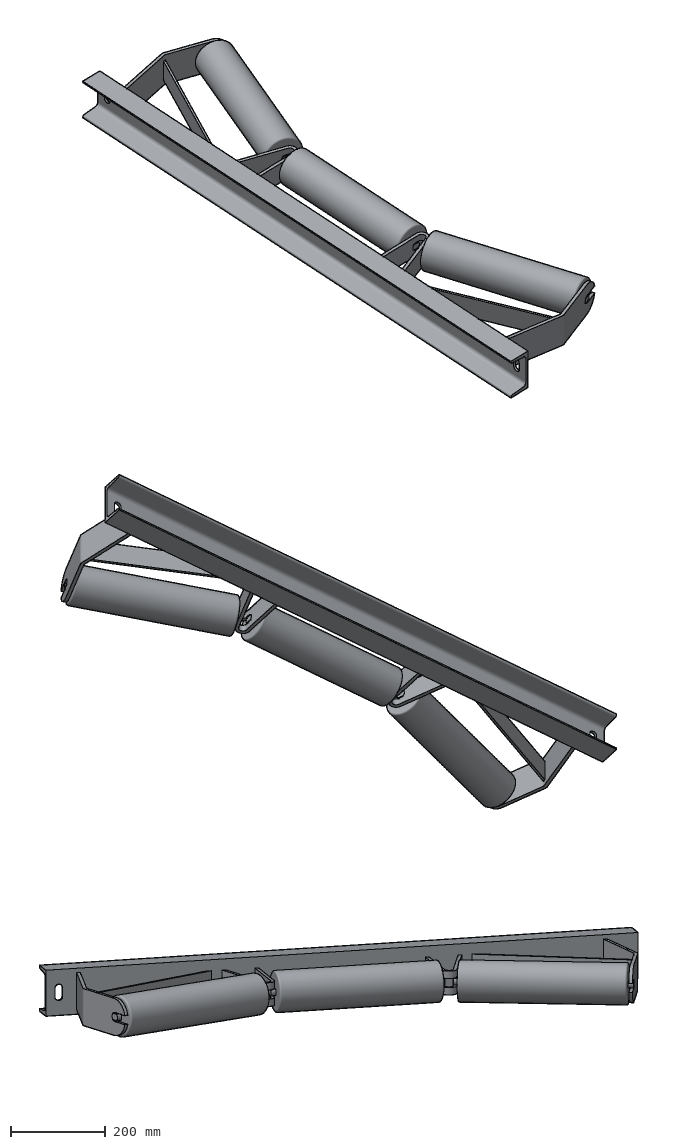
import cadquery as cq
import math


channel_length = 1300.0
channel_height = 100.0
channel_depth = channel_height / 2
web_thickness = 6.0
flange_thickness = 8.5
flange_slope = 0.08
root_radius = 8.5
tip_radius = 4.5
mount_slot_width = 17.0
mount_slot_length = 35.0
mount_slot_inset = 29.0

roller_diameter = 90.0
roller_length = 360.0
roller_edge_radius = 4.0
shaft_radius = 9.8
shaft_flat_width = 14.0
tilt = 20.0
side_roller_x = -390.0
side_roller_y = 187.0
center_roller_y = 116.0

wide_strip_width = 80.0
narrow_strip_width = 52.0
strip_thickness = 8.0
end_gap = 3.2
end_bend_y = 144.0
end_foot = (-576.0, -13.0)
end_round_drop = 3.0
end_bend_radius = 12.0
mid_bend_radius = 13.0
brace_thickness = 5.0
brace_foot = (-264.0, -13.0)

sin_tilt = math.sin(math.radians(tilt))
cos_tilt = math.cos(math.radians(tilt))
tan_tilt = sin_tilt / cos_tilt
strip_offset = roller_length / 2 + end_gap + strip_thickness / 2
shaft_length = 2 * strip_offset + strip_thickness

outer_seat = (side_roller_x - strip_offset * cos_tilt, side_roller_y + strip_offset * sin_tilt)
inner_seat = (side_roller_x + strip_offset * cos_tilt, side_roller_y - strip_offset * sin_tilt)
center_seat = (-strip_offset, center_roller_y)


def tilted_x(seat, y):
    """X at height y on the tilted strip middle that passes through a shaft seat."""
    return seat[0] + (y - seat[1]) * tan_tilt


end_bend = (tilted_x(outer_seat, end_bend_y), end_bend_y)


def fillet_flange_edges(channel, y, z, radius):
    """Round the long edges at (y, z) and (y, -z)."""
    edges = []
    for side in (-1, 1):
        nearest = cq.selectors.NearestToPointSelector((0, y, side * z))
        edges += channel.edges("|X").edges(nearest).vals()
    return channel.newObject(edges).fillet(radius)


def make_channel():
    """Channel with tapered flanges pointing to -Y and an upright slot near each end."""
    half_height = channel_height / 2
    tip_inner_z = half_height - flange_thickness + flange_slope * channel_depth / 2
    root_inner_z = tip_inner_z - flange_slope * (channel_depth - web_thickness)
    profile = [
        (0, -half_height),
        (-channel_depth, -half_height),
        (-channel_depth, -tip_inner_z),
        (-web_thickness, -root_inner_z),
        (-web_thickness, root_inner_z),
        (-channel_depth, tip_inner_z),
        (-channel_depth, half_height),
        (0, half_height),
    ]
    channel = cq.Workplane("YZ", origin=(-channel_length / 2, 0, 0)).polyline(profile).close()
    channel = channel.extrude(channel_length)
    channel = fillet_flange_edges(channel, -web_thickness, root_inner_z, root_radius)
    channel = fillet_flange_edges(channel, -channel_depth, tip_inner_z, tip_radius)
    slot_x = channel_length / 2 - mount_slot_inset
    slots = (
        cq.Workplane("XZ")
        .pushPoints([(-slot_x, 0), (slot_x, 0)])
        .slot2D(mount_slot_length, mount_slot_width, 90)
        .extrude(channel_depth)
    )
    return channel.cut(slots)


def make_rod(radius, length):
    """A round bar along X, centred on the origin."""
    return cq.Workplane("YZ", origin=(-length / 2, 0, 0)).circle(radius).extrude(length)


def make_roller(x, y, angle):
    """A roller with its flatted shaft; angle turns its axis from X about Z."""
    roller = make_rod(roller_diameter / 2, roller_length)
    roller = roller.faces("<X or >X").edges().fillet(roller_edge_radius)
    shaft = make_rod(shaft_radius, shaft_length)
    flats = cq.Workplane("XY").box(shaft_length, 2 * shaft_radius, shaft_flat_width)
    roller = roller.union(shaft.intersect(flats))
    return roller.rotate((0, 0, 0), (0, 0, 1), angle).translate((x, y, 0))


def make_seat_slot(seat, length, angle=-tilt):
    """Cutter for a shaft slot, round at the seat and open towards +Y."""
    round_end = make_rod(shaft_radius, length)
    opening = cq.Workplane("XY").box(length, wide_strip_width, 2 * shaft_radius)
    cutter = round_end.union(opening.translate((0, wide_strip_width / 2, 0)))
    return cutter.rotate((0, 0, 0), (0, 0, 1), angle).translate((seat[0], seat[1], 0))


def make_strip(path, width, thickness):
    """A flat strip bent sharply along a path in XY, centred on Z = 0 and cut off at the web."""
    directions = []
    for start, end in zip(path, path[1:]):
        length = math.dist(start, end)
        directions.append(((end[0] - start[0]) / length, (end[1] - start[1]) / length))
    arriving = directions[:1] + directions
    leaving = directions + directions[-1:]

    left_side = []
    right_side = []
    for (x, y), before, after in zip(path, arriving, leaving):
        reach = thickness / 2 / (1 + before[0] * after[0] + before[1] * after[1])
        dx = -(before[1] + after[1]) * reach
        dy = (before[0] + after[0]) * reach
        left_side.append((x + dx, y + dy))
        right_side.append((x - dx, y - dy))

    outline = left_side + right_side[::-1]
    strip = cq.Workplane("XY", origin=(0, 0, -width / 2)).polyline(outline).close().extrude(width)
    behind_web = cq.Workplane("XY").box(channel_length, channel_depth, channel_height)
    return strip.cut(behind_web.translate((0, -channel_depth / 2, 0)))


def make_end_bracket():
    """Left outer strip: leaning foot, bend, and a rounded end slotted for the shaft."""
    round_center = (
        outer_seat[0] - end_round_drop * sin_tilt,
        outer_seat[1] - end_round_drop * cos_tilt,
    )
    bracket = make_strip([end_foot, end_bend, round_center], wide_strip_width, strip_thickness)
    bend_middle = (end_bend[0], end_bend[1], 0)
    outer_edge = bracket.edges("|Z").edges("<X").vals()
    bracket = bracket.newObject(outer_edge).fillet(end_bend_radius + strip_thickness / 2)
    inner_edge = bracket.edges("|Z").edges(cq.selectors.NearestToPointSelector(bend_middle)).vals()
    bracket = bracket.newObject(inner_edge).fillet(end_bend_radius - strip_thickness / 2)
    round_end = make_rod(wide_strip_width / 2, strip_thickness)
    round_end = round_end.rotate((0, 0, 0), (0, 0, 1), -tilt)
    bracket = bracket.union(round_end.translate((round_center[0], round_center[1], 0)))
    return bracket.cut(make_seat_slot(outer_seat, 2 * strip_thickness))


def make_mid_bracket():
    """Left inner strip: a tilted leg and an upright leg joined by a round bend, both slotted."""
    half = strip_thickness / 2
    outer_radius = mid_bend_radius + half
    inner_radius = mid_bend_radius - half
    upright_x = center_seat[0]
    bend_x = upright_x - mid_bend_radius
    tangent_x = bend_x - mid_bend_radius * cos_tilt
    tangent_y = inner_seat[1] + (tangent_x - inner_seat[0]) / tan_tilt
    bend_y = tangent_y - mid_bend_radius * sin_tilt
    tilted_foot_x = tilted_x(inner_seat, 0)
    tilted_foot_half = half / cos_tilt

    def on_bend(radius, degrees):
        angle = math.radians(degrees)
        return (bend_x + radius * math.cos(angle), bend_y + radius * math.sin(angle))

    bend_end = 180 - tilt
    bracket = (
        cq.Workplane("XY", origin=(0, 0, -narrow_strip_width / 2))
        .moveTo(upright_x + half, 0)
        .lineTo(*on_bend(outer_radius, 0))
        .threePointArc(on_bend(outer_radius, bend_end / 2), on_bend(outer_radius, bend_end))
        .lineTo(tilted_foot_x - tilted_foot_half, 0)
        .lineTo(tilted_foot_x + tilted_foot_half, 0)
        .lineTo(*on_bend(inner_radius, bend_end))
        .threePointArc(on_bend(inner_radius, bend_end / 2), on_bend(inner_radius, 0))
        .lineTo(upright_x - half, 0)
        .close()
        .extrude(narrow_strip_width)
    )
    slot_length = 2 * mid_bend_radius
    bracket = bracket.cut(make_seat_slot(inner_seat, slot_length))
    return bracket.cut(make_seat_slot(center_seat, slot_length, 0))


def make_brace(end_bracket):
    """Left diagonal strip from the bend of the end bracket down to the channel."""
    brace = make_strip([end_bend, brace_foot], narrow_strip_width, brace_thickness)
    return brace.cut(end_bracket)


channel = make_channel()
center_roller = make_roller(0, center_roller_y, 0)
side_roller = make_roller(side_roller_x, side_roller_y, -tilt)
end_bracket = make_end_bracket()
mid_bracket = make_mid_bracket()
brace = make_brace(end_bracket)

bodies = [channel.val(), center_roller.val()]
for left_body in (side_roller, end_bracket, mid_bracket, brace):
    bodies.append(left_body.val())
    bodies.append(left_body.mirror("YZ").val())

result = cq.Compound.makeCompound(bodies)